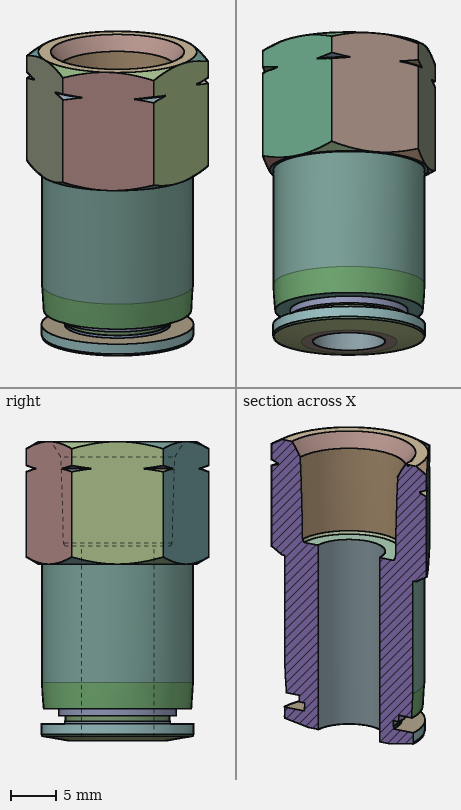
import cadquery as cq
import math

total_height = 33.0
hex_across_flats = 17.45
hex_corner_radius = hex_across_flats / math.sqrt(3)

hex_bottom = 19.5
hex_chamfer_angle = math.radians(30)
corner_notch_z = 30.03
corner_notch_root_radius = 9.2
corner_notch_root_height = 0.05
corner_notch_mouth_height = 0.7

body_radius = 16.7 / 2
body_curve_top = 6.47
body_bottom = 3.53
body_bottom_radius = 8.15
body_curve_middle_radius = 8.28

collar_radius = 13.0 / 2
collar_bottom = 2.77
neck_radius = 11.52 / 2
neck_bottom = 2.18
neck_root_radius = 5.85
flange_radius = 16.8 / 2
flange_top = 1.88
flange_rim_bottom = 0.75
flange_bevel_radius = 8.3
flange_bevel_bottom = 0.53
flange_face_radius = 5.28

mouth_radius = 7.35
mouth_depth = 1.65
bore_top_radius = 6.3
seat_top_radius = 6.0
seat_bottom_radius = 5.8
seat_depth = 0.33
bore_taper = 1 / 16
bore_top = total_height - mouth_depth
bore_bottom = bore_top - 2 * (bore_top_radius - seat_top_radius) / bore_taper
through_radius = 8.0 / 2


def make_hexagon():
    """Hexagon with corners on the Y axis and both ends chamfered by cones."""
    height = total_height - hex_bottom
    prism = (
        cq.Workplane("XY", origin=(0, 0, hex_bottom))
        .polygon(6, 2 * hex_corner_radius)
        .extrude(height)
        .rotate((0, 0, 0), (0, 0, 1), 30)
    )
    flat_radius = hex_across_flats / 2
    chamfer_height = (hex_corner_radius - flat_radius) * math.tan(hex_chamfer_angle)
    envelope = (
        cq.Workplane("XZ")
        .moveTo(0, hex_bottom)
        .lineTo(flat_radius, hex_bottom)
        .lineTo(hex_corner_radius, hex_bottom + chamfer_height)
        .lineTo(hex_corner_radius, total_height - chamfer_height)
        .lineTo(flat_radius, total_height)
        .lineTo(0, total_height)
        .close()
        .revolve(360, (0, 0, 0), (0, 1, 0))
    )
    return prism.intersect(envelope)


def make_corner_notch():
    """Tapered ring that cuts a narrow notch across every hexagon corner."""
    half_root = corner_notch_root_height / 2
    half_mouth = corner_notch_mouth_height / 2
    return (
        cq.Workplane("XZ")
        .moveTo(corner_notch_root_radius, corner_notch_z - half_root)
        .lineTo(hex_corner_radius, corner_notch_z - half_mouth)
        .lineTo(hex_corner_radius, corner_notch_z + half_mouth)
        .lineTo(corner_notch_root_radius, corner_notch_z + half_root)
        .close()
        .revolve(360, (0, 0, 0), (0, 1, 0))
    )


def make_body_and_sleeve():
    """Turned body, collar, neck and release flange."""
    curve_middle_z = (body_curve_top + body_bottom) / 2
    return (
        cq.Workplane("XZ")
        .moveTo(0, 0)
        .lineTo(flange_face_radius, 0)
        .lineTo(flange_bevel_radius, flange_bevel_bottom)
        .lineTo(flange_radius, flange_rim_bottom)
        .lineTo(flange_radius, flange_top)
        .lineTo(neck_root_radius, flange_top)
        .lineTo(neck_root_radius, neck_bottom)
        .lineTo(neck_radius, neck_bottom)
        .lineTo(neck_radius, collar_bottom)
        .lineTo(collar_radius, collar_bottom)
        .lineTo(collar_radius, body_bottom)
        .lineTo(body_bottom_radius, body_bottom)
        .threePointArc((body_curve_middle_radius, curve_middle_z), (body_radius, body_curve_top))
        .lineTo(body_radius, hex_bottom)
        .lineTo(0, hex_bottom)
        .close()
        .revolve(360, (0, 0, 0), (0, 1, 0))
    )


def make_bore():
    """Flared mouth, tapered bore, conical seat and through hole."""
    return (
        cq.Workplane("XZ")
        .moveTo(0, 0)
        .lineTo(through_radius, 0)
        .lineTo(through_radius, bore_bottom - seat_depth)
        .lineTo(seat_bottom_radius, bore_bottom - seat_depth)
        .lineTo(seat_top_radius, bore_bottom)
        .lineTo(bore_top_radius, bore_top)
        .lineTo(mouth_radius, total_height)
        .lineTo(0, total_height)
        .close()
        .revolve(360, (0, 0, 0), (0, 1, 0))
    )


nut = make_hexagon().cut(make_corner_notch())
result = nut.union(make_body_and_sleeve()).cut(make_bore())